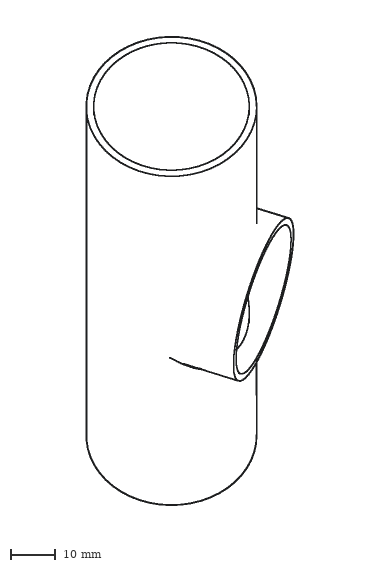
import cadquery as cq

outer_diameter = 38.1
bore_diameter = 34.8
run_length = 128.0
overall_width = 41.1
crease_radius = 0.6
branch_reach = overall_width - outer_diameter / 2


def run_cylinder(diameter):
    """Full-length cylinder along Z, centred on the origin."""
    return cq.Workplane("XY").circle(diameter / 2).extrude(run_length / 2, both=True)


def branch_cylinder(diameter):
    """Cylinder from the run axis to the branch end face."""
    return cq.Workplane("YZ").circle(diameter / 2).extrude(branch_reach)


def tee_cylinders(diameter):
    """Run and branch cylinders of equal diameter, joined."""
    return run_cylinder(diameter).union(branch_cylinder(diameter))


outer_body = tee_cylinders(outer_diameter).edges("%ELLIPSE").fillet(crease_radius)

result = outer_body.cut(tee_cylinders(bore_diameter))